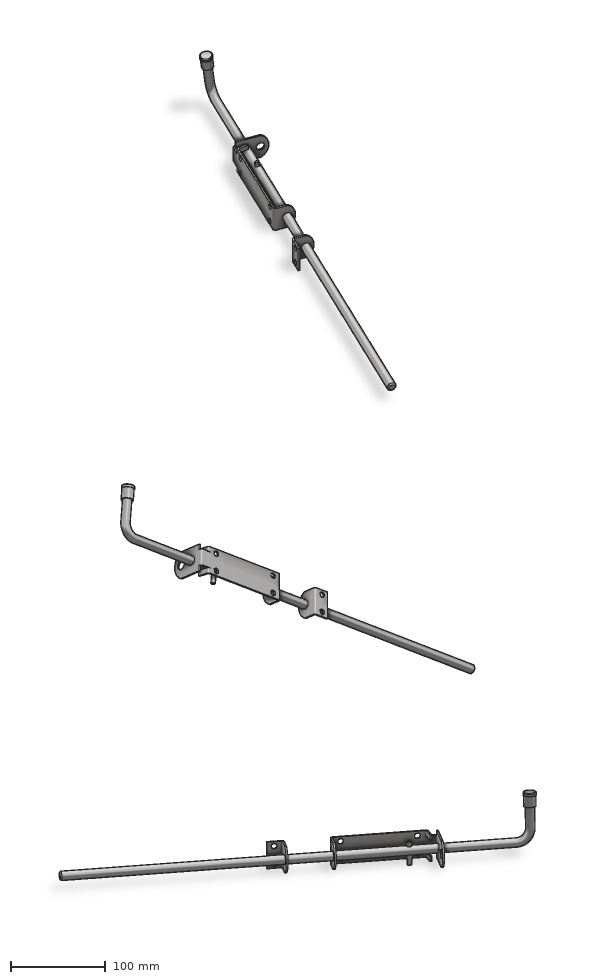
import cadquery as cq
import math


rod_diameter = 10.0
rod_end_x = 505.0
rod_end_chamfer = 1.5
bend_radius = 15.5
handle_lean = 6.0

handle_top = 55.5
cap_length = 16.0
cap_diameter = 13.5
lip_diameter = 14.5
lip_thickness = 3.5
lip_chamfer = 1.0

pin_x = 130.0
pin_diameter = 5.0
pin_chamfer = 1.0
pin_reach_below = 16.5
pin_reach_above = 10.0

sheet = 2.0
bend_outer_radius = 3.0
bend_inner_radius = bend_outer_radius - sheet
plate_y = -15.5
plate_height = 30.5
flange_tip_radius = 17.5
short_flange_tip_y = 9.5

main_left_x = 97.0
main_right_x = 212.0
long_flange_tip_y = 25.5
neck_height = 18.5
padlock_hole_y = 16.0
padlock_hole_diameter = 9.5

ear_x = 107.5
ear_tip_y = -1.5
ear_lean = 8.0

guide_left_x = 261.5
guide_right_x = 280.0

screw_hole_diameter = 6.0
screw_hole_spacing = 20.0
main_screw_xs = (119.0, 201.5)
guide_screw_x = 272.5


def lean_with_handle(body):
    """Turn an upright body about the rod axis to the lean of the handle."""
    return body.rotate((0, 0, 0), (1, 0, 0), handle_lean)


def round_bar(diameter, bottom_z, top_z):
    """Upright cylinder on the handle axis."""
    return cq.Workplane("XY").workplane(offset=bottom_z).circle(diameter / 2).extrude(top_z - bottom_z)


def make_stop_pin():
    pin = round_bar(pin_diameter, -pin_reach_below, pin_reach_above)
    pin = pin.faces("<Z or >Z").chamfer(pin_chamfer)
    return lean_with_handle(pin.translate((pin_x, 0, 0)))


def make_rod(stop_pin):
    bend_middle = bend_radius * (1 - math.sqrt(0.5))
    path = (
        cq.Workplane("XZ")
        .moveTo(rod_end_x, 0)
        .lineTo(bend_radius, 0)
        .threePointArc((bend_middle, bend_middle), (0, bend_radius))
        .lineTo(0, handle_top - lip_thickness)
    )
    rod = cq.Workplane("YZ", origin=(rod_end_x, 0, 0)).circle(rod_diameter / 2).sweep(path)
    rod = rod.faces(">X").chamfer(rod_end_chamfer)
    return lean_with_handle(rod).cut(stop_pin)


def make_cap():
    lip_bottom = handle_top - lip_thickness
    sleeve = round_bar(cap_diameter, handle_top - cap_length, lip_bottom)
    bore = round_bar(rod_diameter, handle_top - cap_length, lip_bottom)
    lip = round_bar(lip_diameter, lip_bottom, handle_top).faces(">Z").chamfer(lip_chamfer)
    return lean_with_handle(sleeve.cut(bore).union(lip))


def plate(left_x, right_x):
    """Upright mounting plate between two X positions."""
    flat = cq.Workplane("XY").box(right_x - left_x, sheet, plate_height, centered=(False, False, True))
    return flat.translate((left_x, plate_y, 0))


def flange(left_x, tip_y):
    """Sheet square to the rod with an arched tip and a hole for the rod."""
    half_height = plate_height / 2
    arch_depth = flange_tip_radius - math.sqrt(flange_tip_radius**2 - half_height**2)
    return (
        cq.Workplane("YZ", origin=(left_x, 0, 0))
        .moveTo(plate_y, -half_height)
        .lineTo(tip_y - arch_depth, -half_height)
        .threePointArc((tip_y, 0), (tip_y - arch_depth, half_height))
        .lineTo(plate_y, half_height)
        .close()
        .extrude(sheet)
        .cut(cq.Workplane("YZ", origin=(left_x, 0, 0)).circle(rod_diameter / 2).extrude(sheet))
    )


def round_bend(bracket, outer_x, inward):
    """Round the upright outer and inner edges where a flange meets a plate.

    `inward` is +1 where the plate lies on the +X side of the flange, -1 on the other side.
    """
    inner_x = outer_x + inward * sheet
    reach = sheet / 4
    bend_edges = (
        (outer_x, plate_y, bend_outer_radius),
        (inner_x, plate_y + sheet, bend_inner_radius),
    )
    for x, y, radius in bend_edges:
        near_edge = cq.selectors.BoxSelector(
            (x - reach, y - reach, -plate_height),
            (x + reach, y + reach, plate_height),
        )
        bracket = bracket.edges("|Z").edges(near_edge).fillet(radius)
    return bracket


def drill_screw_holes(bracket, xs):
    places = [(x, side * screw_hole_spacing / 2) for x in xs for side in (-1, 1)]
    drills = (
        cq.Workplane("XZ", origin=(0, plate_y + sheet, 0))
        .pushPoints(places)
        .circle(screw_hole_diameter / 2)
        .extrude(sheet)
    )
    return bracket.cut(drills)


def make_ears():
    """Two leaning ears, one above and one below the neck, with rounded bends."""
    ear_length = ear_tip_y - plate_y
    tip_shift = ear_length * math.tan(math.radians(ear_lean))
    plate_end_x = ear_x + bend_outer_radius
    ears = (
        cq.Workplane("XY", origin=(0, 0, -plate_height / 2))
        .moveTo(plate_end_x, plate_y)
        .lineTo(ear_x, plate_y)
        .lineTo(ear_x - tip_shift, ear_tip_y)
        .lineTo(ear_x - tip_shift + sheet, ear_tip_y)
        .lineTo(ear_x + sheet, plate_y + sheet)
        .lineTo(plate_end_x, plate_y + sheet)
        .close()
        .extrude(plate_height)
    )
    ears = round_bend(ears, ear_x, 1)
    neck_gap = cq.Workplane("XY").box(2 * ear_length, 2 * ear_length, neck_height)
    return ears.cut(neck_gap.translate((ear_x, plate_y, 0)))


def make_main_bracket():
    long_flange = flange(main_left_x, long_flange_tip_y)
    padlock_hole = (
        cq.Workplane("YZ", origin=(main_left_x, padlock_hole_y, 0))
        .circle(padlock_hole_diameter / 2)
        .extrude(sheet)
    )
    bracket = (
        long_flange.cut(padlock_hole)
        .union(plate(main_left_x, main_right_x))
        .union(flange(main_right_x - sheet, short_flange_tip_y))
    )
    bracket = round_bend(bracket, main_left_x, 1)
    bracket = round_bend(bracket, main_right_x, -1)

    notch_length = ear_x + bend_outer_radius - main_left_x
    centered = (False, False, True)
    notch = cq.Workplane("XY").box(notch_length, bend_outer_radius, plate_height, centered=centered)
    neck = cq.Workplane("XY").box(notch_length, bend_outer_radius, neck_height, centered=centered)
    bracket = bracket.cut(notch.cut(neck).translate((main_left_x, plate_y, 0)))
    bracket = bracket.union(make_ears())
    return drill_screw_holes(bracket, main_screw_xs)


def make_guide_bracket():
    bracket = flange(guide_left_x, short_flange_tip_y).union(plate(guide_left_x, guide_right_x))
    bracket = round_bend(bracket, guide_left_x, 1)
    return drill_screw_holes(bracket, (guide_screw_x,))


stop_pin = make_stop_pin()
rod = make_rod(stop_pin)
cap = make_cap()
main_bracket = make_main_bracket()
guide_bracket = make_guide_bracket()

result = cq.Compound.makeCompound(
    [rod.val(), cap.val(), stop_pin.val(), main_bracket.val(), guide_bracket.val()]
)